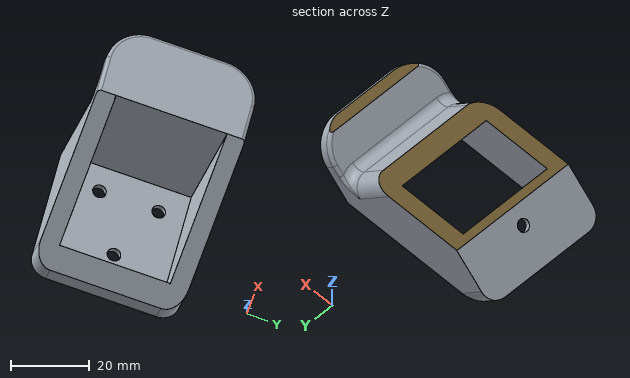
import cadquery as cq
import math

tilt_angle = 45.0

block_size = 40.0
block_depth = 40.0
block_corner_radius = 5.0

lip_reach = 15.0
lip_thickness = 5.0
lip_corner_radius = 10.0
lip_edge_radius = 1.0
valley_radius = 3.0

side_wall = 5.0
face_wall = 2.0

hole_diameter = 3.5
hole_offset = 8.0

lower_side_depth = 5.0

lip_end = block_size + lip_reach
block_center = block_size / 2
plate_margin = block_size / 2
floor_cut_size = 4 * block_size
selection_margin = 1.0


def make_block():
    return (
        cq.Workplane("XY")
        .center(block_center, 0)
        .rect(block_size, block_size)
        .extrude(block_depth)
        .edges("|Z")
        .fillet(block_corner_radius)
    )


def make_block_on_plate():
    """Block standing on an oversized plate, with the valley fillet all round its foot."""
    plate_size = block_size + 2 * plate_margin
    plate = (
        cq.Workplane("XY")
        .center(block_center, 0)
        .rect(plate_size, plate_size)
        .extrude(lip_thickness)
    )
    half_width = block_size / 2 + selection_margin
    foot_edges = cq.selectors.BoxSelector(
        (block_center - half_width, -half_width, lip_thickness - selection_margin),
        (block_center + half_width, half_width, lip_thickness + selection_margin),
    )
    return plate.union(make_block()).edges(foot_edges).fillet(valley_radius)


def make_envelope():
    """Prism with the outline of block and lip together, rounded at the lip corners."""
    return (
        cq.Workplane("XY")
        .center(lip_end / 2, 0)
        .rect(lip_end, block_size)
        .extrude(block_depth)
        .edges("|Z and >X")
        .fillet(lip_corner_radius)
    )


def round_lip_edges(body):
    """Round both rims of the lip; each rim is one tangent chain starting at the tip edge."""
    return body.faces(">X").edges("|Y").fillet(lip_edge_radius)


def make_cavity():
    cavity_size = block_size - 2 * side_wall
    return (
        cq.Workplane("XY")
        .center(block_center, 0)
        .rect(cavity_size, cavity_size)
        .extrude(block_depth - face_wall)
    )


def make_screw_holes():
    hole_points = [
        (-hole_offset, 0),
        (hole_offset, hole_offset),
        (hole_offset, -hole_offset),
    ]
    return (
        cq.Workplane("XY", origin=(block_center, 0, block_depth - face_wall))
        .pushPoints(hole_points)
        .circle(hole_diameter / 2)
        .extrude(face_wall)
    )


def tilt(body):
    """Lean the part over, with its lower left edge at x = 0 and the floor at z = 0."""
    angle = math.radians(tilt_angle)
    edge_x = -block_depth * math.sin(angle)
    edge_z = block_depth * math.cos(angle)
    edge_height = lower_side_depth * math.cos(angle)
    return (
        body.rotate((0, 0, 0), (0, 1, 0), -tilt_angle)
        .translate((-edge_x, 0, edge_height - edge_z))
    )


def cut_floor(body):
    below_floor = cq.Workplane("XY").box(
        floor_cut_size, floor_cut_size, floor_cut_size
    ).translate((0, 0, -floor_cut_size / 2))
    return body.cut(below_floor)


body = make_block_on_plate().intersect(make_envelope())
body = round_lip_edges(body)
body = body.cut(make_cavity()).cut(make_screw_holes())
result = cut_floor(tilt(body))